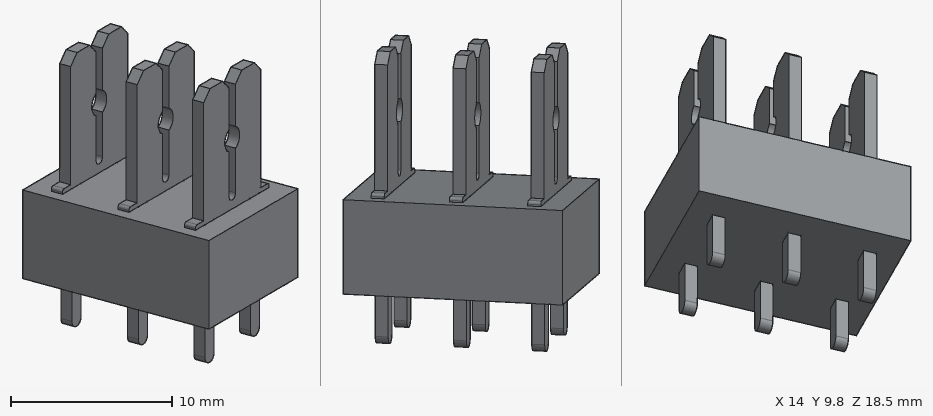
import cadquery as cq

TOTAL_HEIGHT = 18.5
HOUSING_LENGTH = 14.0
HOUSING_WIDTH = 9.8
HOUSING_HEIGHT = 6.0
LEG_LENGTH = 3.5

TERMINAL_COUNT = 3
PITCH = 5.0
THICKNESS = 0.83

LEG_SPACING = PITCH
LEG_WIDTH = 1.02

SHOULDER_WIDTH = 8.12
SHOULDER_HEIGHT = 0.31
SHOULDER_RADIUS = 0.2

BLADE_WIDTH = 6.29
TIP_CHAMFER = 0.7
SLOT_WIDTH = 0.7
SLOT_FLOOR_HEIGHT = 0.61
HOLE_DIAMETER = 1.63
HOLE_HEIGHT = 4.72

BLADE_HEIGHT = TOTAL_HEIGHT - HOUSING_HEIGHT - LEG_LENGTH
PRONG_WIDTH = (BLADE_WIDTH - SLOT_WIDTH) / 2
PRONG_OFFSET = (BLADE_WIDTH + SLOT_WIDTH) / 4
TERMINAL_POSITIONS = [(i - (TERMINAL_COUNT - 1) / 2) * PITCH for i in range(TERMINAL_COUNT)]
LEG_POSITIONS = (-LEG_SPACING / 2, LEG_SPACING / 2)


def plate(width, bottom, top, y=0):
    """Upright rectangular plate of terminal thickness, centred on X = 0."""
    return (
        cq.Workplane("XY", origin=(0, y, bottom))
        .box(THICKNESS, width, top - bottom, centered=(True, True, False))
    )


def cross_cylinder(diameter, y, z):
    """Cylinder along X through the whole thickness of a terminal."""
    face = cq.Workplane("YZ", origin=(-THICKNESS / 2, y, z))
    return face.circle(diameter / 2).extrude(THICKNESS)


def make_housing():
    """Plain block with a slot for every terminal leg."""
    block = cq.Workplane("XY").box(
        HOUSING_LENGTH, HOUSING_WIDTH, HOUSING_HEIGHT, centered=(True, True, False)
    )
    leg_centres = [(x, y) for x in TERMINAL_POSITIONS for y in LEG_POSITIONS]
    leg_slots = cq.Workplane("XY").pushPoints(leg_centres).rect(THICKNESS, LEG_WIDTH)
    return block.cut(leg_slots.extrude(HOUSING_HEIGHT)).solids()


def make_blade():
    """Forked blade standing on the housing."""
    blade = plate(BLADE_WIDTH, HOUSING_HEIGHT, HOUSING_HEIGHT + BLADE_HEIGHT - TIP_CHAMFER)
    for y in (-PRONG_OFFSET, PRONG_OFFSET):
        prong = plate(PRONG_WIDTH, HOUSING_HEIGHT, HOUSING_HEIGHT + BLADE_HEIGHT, y)
        blade = blade.union(prong.edges("|X and >Z").chamfer(TIP_CHAMFER))
    slot_arc_z = HOUSING_HEIGHT + SLOT_FLOOR_HEIGHT + SLOT_WIDTH / 2
    slot = plate(SLOT_WIDTH, slot_arc_z, HOUSING_HEIGHT + BLADE_HEIGHT)
    slot_end = cross_cylinder(SLOT_WIDTH, 0, slot_arc_z)
    hole = cross_cylinder(HOLE_DIAMETER, 0, HOUSING_HEIGHT + HOLE_HEIGHT)
    return blade.cut(slot).cut(slot_end).cut(hole)


def make_shoulder():
    """Bar across the foot of the blade, stopping the terminal on the housing."""
    bar = plate(SHOULDER_WIDTH, HOUSING_HEIGHT, HOUSING_HEIGHT + SHOULDER_HEIGHT)
    return bar.edges("|X and >Z").fillet(SHOULDER_RADIUS)


def make_leg(y):
    """Leg running down through the housing to a round tip."""
    tip_arc_z = LEG_WIDTH / 2 - LEG_LENGTH
    return plate(LEG_WIDTH, tip_arc_z, HOUSING_HEIGHT, y).union(cross_cylinder(LEG_WIDTH, y, tip_arc_z))


def make_terminal(x):
    """One terminal: blade, shoulder and two legs in a single piece."""
    terminal = make_blade().union(make_shoulder())
    for y in LEG_POSITIONS:
        terminal = terminal.union(make_leg(y))
    return terminal.translate((x, 0, 0)).solids()


housing = make_housing()
terminals = [make_terminal(x) for x in TERMINAL_POSITIONS]

result = cq.Compound.makeCompound([housing.val(), *[terminal.val() for terminal in terminals]])